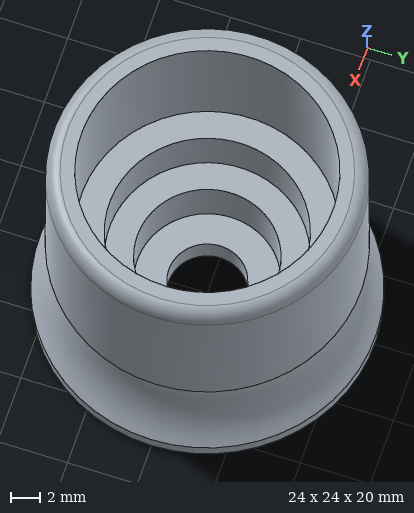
import cadquery as cq
import math

flange_diameter = 24.0
body_diameter = 22.0
waist_diameter = 20.0
height = 20.0
rim_fillet = 1.0

groove_radius = 5.0
groove_center_z = 5.0

bore_steps = [
    (18.0, 10.0),
    (14.0, 6.0),
    (10.0, 2.0),
]
through_hole_diameter = 5.5


def groove_half_height(radius):
    """Axial distance from the waist to the groove surface at a given radius."""
    radial_offset = waist_diameter / 2 + groove_radius - radius
    return math.sqrt(groove_radius**2 - radial_offset**2)


def make_body():
    """Revolved outer shape: flange, concave waist and cylindrical cup."""
    flange_radius = flange_diameter / 2
    body_radius = body_diameter / 2
    flange_top_z = groove_center_z - groove_half_height(flange_radius)
    body_bottom_z = groove_center_z + groove_half_height(body_radius)
    profile = (
        cq.Workplane("XZ")
        .lineTo(flange_radius, 0)
        .lineTo(flange_radius, flange_top_z)
        .threePointArc((waist_diameter / 2, groove_center_z), (body_radius, body_bottom_z))
        .lineTo(body_radius, height)
        .lineTo(0, height)
        .close()
    )
    body = profile.revolve(360, (0, 0, 0), (0, 1, 0))
    return body.faces(">Z").edges().fillet(rim_fillet)


def make_bore(diameter, floor_z):
    """Cylinder reaching from a bore floor up to the top of the part."""
    return cq.Workplane("XY").workplane(offset=floor_z).circle(diameter / 2).extrude(height - floor_z)


result = make_body().cut(make_bore(through_hole_diameter, 0))
for step_diameter, step_floor_z in bore_steps:
    result = result.cut(make_bore(step_diameter, step_floor_z))